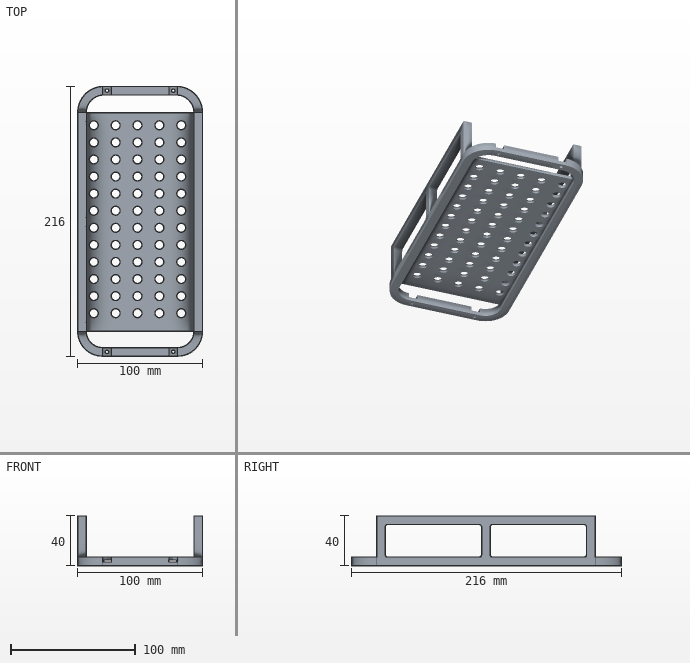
import cadquery as cq

length = 216.0
width = 100.0
height = 40.0

body_length = 175.0
window_height = 26.0
window_fillet = 2.0
floor_thickness = 2.5

hole_diameter = 7.0
hole_columns = 5
hole_rows = 12
hole_pitch_x = 17.5
first_hole_x = 13.0
front_hole_margin = 14.5
back_hole_margin = 10.2

grip_length = 46.0
notch_depth = 3.9
notch_hole_diameter = 2.5

bar = (height - window_height) / 2
half_width = width / 2
hole_pitch_y = (body_length - front_hole_margin - back_hole_margin) / (hole_rows - 1)

notch_offset = half_width - grip_length / 2 - bar
front_reach = notch_offset
back_reach = length - body_length - front_reach
body_front = -length / 2 + front_reach
body_back = body_front + body_length


def block(x_min, y_min, z_min, x_size, y_size, z_size):
    return cq.Workplane("XY").box(x_size, y_size, z_size, centered=False).translate((x_min, y_min, z_min))


def perforated_floor():
    plate = block(-half_width, body_front, bar - floor_thickness, width, body_length, floor_thickness)
    hole_centers = [
        (
            -half_width + first_hole_x + column * hole_pitch_x,
            body_front + front_hole_margin + row * hole_pitch_y,
        )
        for column in range(hole_columns)
        for row in range(hole_rows)
    ]
    holes = cq.Workplane("XY").pushPoints(hole_centers).circle(hole_diameter / 2).extrude(bar)
    return plate.cut(holes)


def side_frame(x_min):
    """Upright frame with two round-cornered windows side by side."""
    frame = block(x_min, body_front, 0, bar, body_length, height)
    window_length = (body_length - 3 * bar) / 2
    for index in range(2):
        y_min = body_front + bar + index * (window_length + bar)
        window = block(x_min, y_min, bar, bar, window_length, window_height)
        frame = frame.cut(window.edges("|X").fillet(window_fillet))
    return frame


def handle_slab(reach, inset):
    """Slab out to the reach in +Y, shrunk by the inset, its corner arcs starting on the X axis."""
    root = bar
    slab = block(-half_width + inset, -root, 0, width - 2 * inset, root + reach - inset, bar)
    return slab.edges("|Z and >Y").fillet(reach - inset)


def handle(reach):
    """Handle loop with two drilled notches in its grip; its legs run a bar width into the side frames."""
    loop = handle_slab(reach, 0).cut(handle_slab(reach, bar))
    for side in (-1, 1):
        notch_x = side * (half_width - notch_offset - bar / 2)
        notch = block(notch_x - bar / 2, reach - bar, bar - notch_depth, bar, bar, notch_depth)
        hole = cq.Workplane("XY").circle(notch_hole_diameter / 2).extrude(bar)
        hole = hole.translate((notch_x, reach - bar / 2, 0))
        loop = loop.cut(notch).cut(hole)
    return loop


back_handle = handle(back_reach).translate((0, body_back, 0))
front_handle = handle(front_reach).rotate((0, 0, 0), (0, 0, 1), 180).translate((0, body_front, 0))

result = (
    perforated_floor()
    .union(side_frame(-half_width))
    .union(side_frame(half_width - bar))
    .union(back_handle)
    .union(front_handle)
)